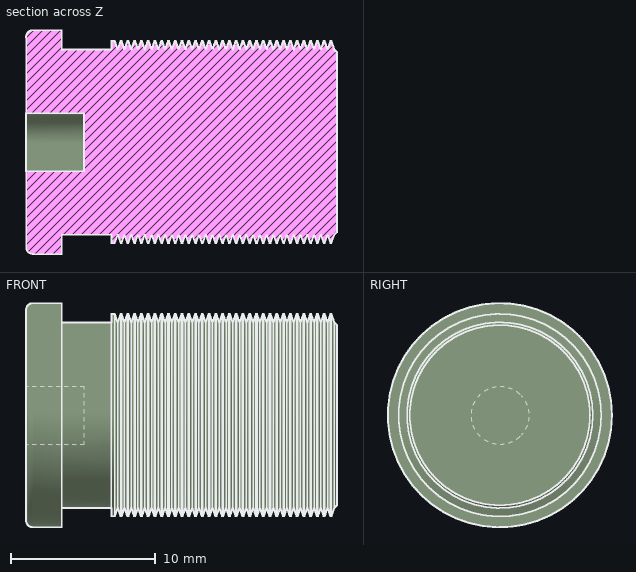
import cadquery as cq

length = 21.5
head_diameter = 15.5
head_thickness = 2.5
head_rounding = 0.5
neck_diameter = 12.84
hole_diameter = 4.0
hole_depth = hole_diameter

barrel_start = 5.91
crest_diameter = 14.0
root_diameter = neck_diameter
crest_width = 0.075
first_root = 6.35
ridge_count = 32
end_chamfer = 0.2

head_radius = head_diameter / 2
neck_radius = neck_diameter / 2
crest_radius = crest_diameter / 2
root_radius = root_diameter / 2
last_root = length - end_chamfer
ridge_pitch = (last_root - first_root) / ridge_count
flank_width = (ridge_pitch - crest_width) / 2


def ridge_points():
    """Crest corners and closing groove root of every ridge, as (x, radius)."""
    points = []
    for index in range(ridge_count):
        root = first_root + index * ridge_pitch
        points.append((root + flank_width, crest_radius))
        points.append((root + flank_width + crest_width, crest_radius))
        points.append((root + ridge_pitch, root_radius))
    return points


def turned_body():
    """Head, neck and ridged barrel, revolved from one half profile."""
    profile = (
        cq.Workplane("XY")
        .lineTo(0, head_radius - head_rounding)
        .radiusArc((head_rounding, head_radius), head_rounding)
        .lineTo(head_thickness, head_radius)
        .lineTo(head_thickness, neck_radius)
        .lineTo(barrel_start, neck_radius)
        .lineTo(barrel_start, crest_radius)
        .lineTo(first_root - flank_width, crest_radius)
        .lineTo(first_root, root_radius)
    )
    for x, radius in ridge_points():
        profile = profile.lineTo(x, radius)
    profile = profile.lineTo(length, root_radius - end_chamfer).lineTo(length, 0).close()
    return profile.revolve(360, (0, 0, 0), (1, 0, 0))


def head_hole():
    """Round hole going into the head face along the axis."""
    return cq.Workplane("YZ").circle(hole_diameter / 2).extrude(hole_depth)


result = turned_body().cut(head_hole())